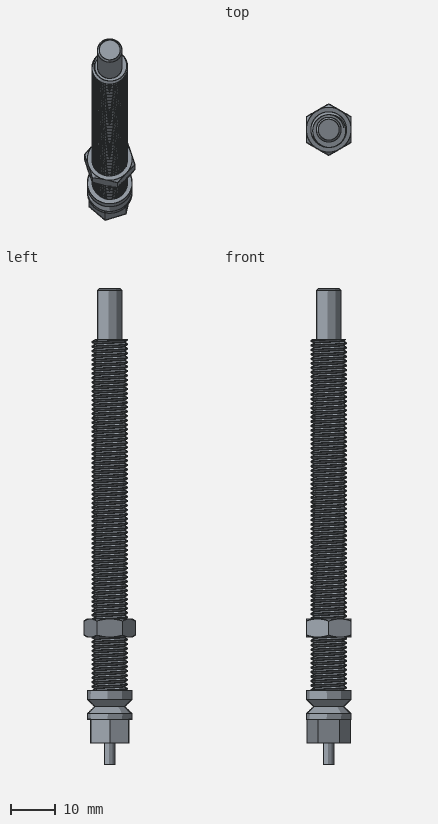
import cadquery as cq
import math

total_length = 106.5

stem_diameter = 2.5
stem_length = 4.8

hex_end_flats = 8.5
hex_end_height = 5.3

collar_diameter = 10.0
lower_collar_height = 1.3
upper_collar_height = 2.0
neck_diameter = 6.7
neck_half_height = 1.6

thread_length = 78.5
thread_crest_diameter = 8.0
thread_root_diameter = 6.7
thread_pitch = 1.0
crest_flat = 0.13
root_flat = 0.13
seam_angle = 45.0
thread_overrun = 2.3

rod_diameter = 5.5
rod_chamfer = 0.4

nut_flats = 10.0
nut_height = 4.0
nut_bottom = 28.5
nut_chamfer_angle = 30.0

hex_end_top = stem_length + hex_end_height
lower_collar_top = hex_end_top + lower_collar_height
neck_z = lower_collar_top + neck_half_height
upper_collar_bottom = neck_z + neck_half_height
thread_start = upper_collar_bottom + upper_collar_height
thread_end = thread_start + thread_length
nut_top = nut_bottom + nut_height

hex_end_corners = hex_end_flats / math.cos(math.pi / 6)
collar_radius = collar_diameter / 2
neck_radius = neck_diameter / 2
crest_radius = thread_crest_diameter / 2
root_radius = thread_root_diameter / 2
flank_height = (thread_pitch - crest_flat - root_flat) / 2
nut_chamfer_radius = nut_flats / 2
nut_corner_radius = nut_chamfer_radius / math.cos(math.pi / 6)


def cylinder(diameter, bottom, top):
    return cq.Workplane("XY").workplane(offset=bottom).circle(diameter / 2).extrude(top - bottom)


def hex_prism(corner_diameter, bottom, top):
    """Hexagonal prism with two corners on the X axis."""
    base = cq.Workplane("XY").workplane(offset=bottom)
    return base.polygon(6, corner_diameter).extrude(top - bottom)


def revolve_about_z(outline):
    """Solid of revolution from (radius, Z) points."""
    return cq.Workplane("XZ").polyline(outline).close().revolve(360, (0, 0, 0), (0, 1, 0))


def make_hex_end():
    return hex_prism(hex_end_corners, stem_length, hex_end_top)


def make_collar():
    return revolve_about_z([
        (0, hex_end_top),
        (collar_radius, hex_end_top),
        (collar_radius, lower_collar_top),
        (neck_radius, neck_z),
        (collar_radius, upper_collar_bottom),
        (collar_radius, thread_start),
        (0, thread_start),
    ])


def make_thread():
    """Right-handed thread, sewn from one ring of helical bands per turn and trimmed flat at both ends."""
    profile = [
        (crest_radius, 0),
        (crest_radius, crest_flat),
        (root_radius, crest_flat + flank_height),
        (root_radius, crest_flat + flank_height + root_flat),
        (crest_radius, thread_pitch),
    ]
    turns = math.ceil((thread_length + 2 * thread_overrun) / thread_pitch)
    first_turn_z = thread_start - thread_overrun

    def turn_edge(turn, point):
        radius, rise = point
        z = first_turn_z + turn * thread_pitch + rise
        return cq.Wire.makeHelix(thread_pitch, thread_pitch, radius, cq.Vector(0, 0, z))

    bands = [
        cq.Face.makeRuledSurface(turn_edge(turn, lower), turn_edge(turn, upper))
        for turn in range(turns)
        for lower, upper in zip(profile, profile[1:])
    ]

    def end_faces(turn):
        """Helicoid from the axis out to the crest, and the flat step one pitch high that closes it."""
        edge = turn_edge(turn, profile[0])
        end_z = first_turn_z + turn * thread_pitch
        axis_low = cq.Vector(0, 0, end_z)
        axis_high = axis_low + cq.Vector(0, 0, thread_pitch)
        axis = cq.Wire.makePolygon([axis_low, axis_high])
        step_points = [cq.Vector(radius, 0, end_z + rise) for radius, rise in profile]
        step = cq.Wire.makePolygon([axis_low, *step_points, axis_high], close=True)
        return [cq.Face.makeRuledSurface(edge, axis), cq.Face.makeFromWires(step)]

    shell = cq.Shell.makeShell(bands + end_faces(0) + end_faces(turns))
    thread = cq.Workplane(cq.Solid.makeSolid(shell)).rotate((0, 0, 0), (0, 0, 1), seam_angle)
    return thread.intersect(cylinder(collar_diameter, thread_start, thread_end))


def make_body():
    stem = cylinder(stem_diameter, 0, stem_length)
    rod = cylinder(rod_diameter, thread_end, total_length).faces(">Z").chamfer(rod_chamfer)
    return stem.union(make_hex_end()).union(make_collar()).union(make_thread()).union(rod)


def make_nut():
    chamfer_drop = (nut_corner_radius - nut_chamfer_radius) * math.tan(math.radians(nut_chamfer_angle))
    chamfered_disc = revolve_about_z([
        (0, nut_bottom),
        (nut_chamfer_radius, nut_bottom),
        (nut_corner_radius, nut_bottom + chamfer_drop),
        (nut_corner_radius, nut_top - chamfer_drop),
        (nut_chamfer_radius, nut_top),
        (0, nut_top),
    ])
    bore = cylinder(thread_crest_diameter, nut_bottom, nut_top)
    prism = hex_prism(2 * nut_corner_radius, nut_bottom, nut_top).rotate((0, 0, 0), (0, 0, 1), 90)
    return prism.intersect(chamfered_disc).cut(bore)


body = make_body()
nut = make_nut()
result = cq.Compound.makeCompound([body.val(), nut.val()])